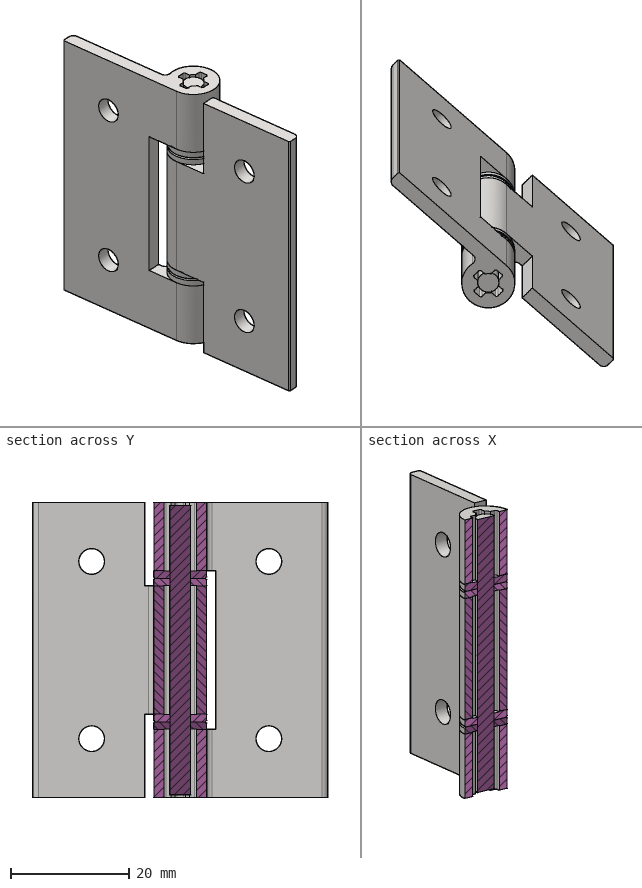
import cadquery as cq
import math

width = 50.0
height = 50.0
half_width = width / 2
half_height = height / 2

knuckle_radius = 4.5
plate_thickness = 2.5
plate_back = -knuckle_radius
plate_front = plate_back + plate_thickness
root_radius = 1.0
outer_corner_radius = 1.0
edge_chamfer = 0.2

middle_half_height = 10.9
washer_thickness = 1.25
washer_chamfer = 0.2
notch_half_height = middle_half_height + 2 * washer_thickness
knuckle_clearance = 1.5
notch_edge = knuckle_radius + knuckle_clearance

screw_hole_diameter = 4.3
screw_hole_spacing = 30.0

pin_radius = 1.8
pin_recess = 0.5
slot_width = 1.7
slot_reach = 2.75
slot_corner_radius = 0.3


def leaf_section(side):
    """Plate and knuckle outline in XY; side is -1 for a leaf toward -X, +1 toward +X."""
    fillet_y = plate_front + root_radius
    fillet_x = math.sqrt((knuckle_radius + root_radius) ** 2 - fillet_y ** 2)
    touch_scale = knuckle_radius / (knuckle_radius + root_radius)
    touch = (side * fillet_x * touch_scale, fillet_y * touch_scale)
    return (
        cq.Workplane("XY")
        .moveTo(0, plate_back)
        .lineTo(side * half_width, plate_back)
        .lineTo(side * half_width, plate_front)
        .lineTo(side * fillet_x, plate_front)
        .radiusArc(touch, side * root_radius)
        .threePointArc((-side * knuckle_radius, 0), (0, plate_back))
        .close()
    )


def z_slab(x_start, x_end, half_length):
    """Block through the full hinge depth, centred on Z = 0."""
    return cq.Workplane("XY").box(
        x_end - x_start, 2 * width, 2 * half_length, centered=(False, True, True)
    ).translate((x_start, 0, 0))


def plain_leaf(side):
    """Full-height leaf with its outer edges eased and its screw holes drilled."""
    leaf = leaf_section(side).extrude(height).translate((0, 0, -half_height))
    outer_face = ">X" if side > 0 else "<X"
    leaf = leaf.faces(outer_face).edges(">Y").fillet(outer_corner_radius)
    leaf = leaf.faces(outer_face).edges("<Y").chamfer(edge_chamfer)
    half_spacing = screw_hole_spacing / 2
    screw_holes = (
        cq.Workplane("XZ")
        .pushPoints([(side * half_spacing, -half_spacing), (side * half_spacing, half_spacing)])
        .circle(screw_hole_diameter / 2)
        .extrude(width, both=True)
    )
    return leaf.cut(screw_holes)


def pin_bore():
    return cq.Workplane("XY").circle(pin_radius).extrude(half_height, both=True)


def slotted_bore():
    """Round bore with four rounded slots, crossing at the pin axis."""
    bar = (
        cq.Workplane("XY")
        .rect(2 * slot_reach, slot_width)
        .extrude(half_height, both=True)
        .edges("|Z")
        .fillet(slot_corner_radius)
    )
    crossed_bar = bar.rotate((0, 0, 0), (0, 0, 1), 90)
    return pin_bore().union(bar).union(crossed_bar)


def make_outer_leaf():
    """Leaf toward -X, with a knuckle at each end of the pin."""
    notch = z_slab(-notch_edge, notch_edge, notch_half_height)
    return plain_leaf(-1).cut(notch).cut(slotted_bore())


def make_middle_leaf():
    """Leaf toward +X, with one knuckle in the middle of the pin."""
    beside_knuckle = z_slab(-notch_edge, notch_edge, half_height)
    beside_knuckle = beside_knuckle.cut(z_slab(-notch_edge, notch_edge, middle_half_height))
    return plain_leaf(1).cut(beside_knuckle).cut(slotted_bore())


def make_pin():
    return cq.Workplane("XY").circle(pin_radius).extrude(half_height - pin_recess, both=True)


def make_washer(bottom, mating_face):
    """Washer standing on Z = bottom, chamfered around the face that meets the other washer."""
    disc = (
        cq.Workplane("XY", origin=(0, 0, bottom))
        .circle(knuckle_radius)
        .extrude(washer_thickness)
        .faces(mating_face)
        .chamfer(washer_chamfer)
    )
    return disc.cut(pin_bore())


outer_leaf = make_outer_leaf()
middle_leaf = make_middle_leaf()
pin = make_pin()

washers = []
for joint_start in (middle_half_height, -notch_half_height):
    washers.append(make_washer(joint_start, ">Z"))
    washers.append(make_washer(joint_start + washer_thickness, "<Z"))

result = cq.Compound.makeCompound(
    [outer_leaf.val(), middle_leaf.val(), pin.val(), *[washer.val() for washer in washers]]
)